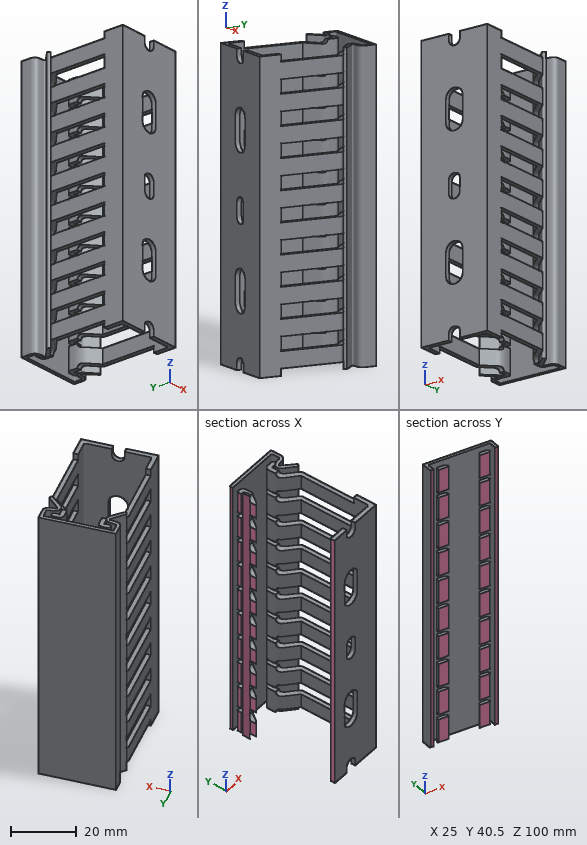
import cadquery as cq
import math

length = 100.0
width = 25.0
height = 40.5
half_width = width / 2

base_wall = 1.6
lean_wall = 1.8
base_corner_fillet = 0.8
lean_angle = 42.0
lean_foot = 28.7
lean_bend_radius = 1.5
hook_half_opening = 5.6
hook_top = 37.6
hook_tip = 9.6
hook_bend_radius = 1.4
hook_neck_inner_radius = 4.4
hook_neck_outer_radius = 2.0
hook_tip_radius = 0.79

lid_wall = 1.2
lid_corner_fillet = 0.3
shelf_slope = 9.0
shelf_underside = 35.0
shelf_upper_side = 36.3
shelf_outer_radius = 2.0
shelf_inner_radius = 0.5
notch_x = 8.1
notch_y = 34.6
notch_radius = 0.3
grip_radius = 1.8
leg_tip_outer = 30.3
leg_tip_inset = 0.5
leg_tip_radius = 0.5

finger_pitch = 10.0
finger_gap = 4.6
finger_root = 7.4
head_gap = 1.6
head_ledge = 33.5
head_fillet = (finger_gap - head_gap) / 2

small_slot_width = 4.2
small_slot_length = 8.4
large_slot_width = 6.3
large_slot_length = 14.0
slot_pitch = 50.0


def unit(x, y):
    """The 2D vector (x, y) scaled to length 1."""
    size = math.hypot(x, y)
    return x / size, y / size


def rounded_profile(corners):
    """Closed outline through (x, y, radius) corners; a radius of 0 leaves a corner sharp."""
    outline = cq.Workplane("XY")
    following = corners[1:] + corners[:1]
    preceding = corners[-1:] + corners[:-1]
    for i, (x, y, radius) in enumerate(corners):
        back = unit(preceding[i][0] - x, preceding[i][1] - y)
        ahead = unit(following[i][0] - x, following[i][1] - y)
        half_angle = math.acos(back[0] * ahead[0] + back[1] * ahead[1]) / 2
        setback = radius / math.tan(half_angle)
        entry = (x + setback * back[0], y + setback * back[1])
        outline = outline.moveTo(*entry) if i == 0 else outline.lineTo(*entry)
        if radius > 0:
            inward = unit(back[0] + ahead[0], back[1] + ahead[1])
            depth = radius / math.sin(half_angle) - radius
            middle = (x + depth * inward[0], y + depth * inward[1])
            leave = (x + setback * ahead[0], y + setback * ahead[1])
            outline = outline.threePointArc(middle, leave)
    return outline.close()


def symmetric_extrusion(half_outline):
    """Full-length solid from the +X half of an outline and its mirror image."""
    mirrored = [(-x, y, radius) for x, y, radius in reversed(half_outline)]
    return rounded_profile(half_outline + mirrored).extrude(length)


def lean_height(x, inset):
    """Level at x of the leaning wall's plane, moved inwards by the inset."""
    lean = math.radians(lean_angle)
    return lean_foot + (half_width - x) * math.tan(lean) - inset / math.cos(lean)


def grip_corner(shelf_end):
    """Sharp corner where the shelf's upper side meets the leg's contact face."""
    fall = math.tan(math.radians(shelf_slope))
    rise = math.tan(math.radians(lean_angle))
    x = shelf_end - (shelf_upper_side - lean_height(shelf_end, 0)) / (rise + fall)
    return x, lean_height(x, 0)


def lid_body():
    inner_side = half_width - lid_wall
    leg_tip_x = half_width - leg_tip_inset
    return symmetric_extrusion([
        (half_width, height, 0),
        (half_width, shelf_underside, shelf_outer_radius),
        (notch_x, notch_y, notch_radius),
        (half_width, leg_tip_outer, 0),
        (leg_tip_x, lean_height(leg_tip_x, 0), leg_tip_radius),
        (*grip_corner(inner_side), grip_radius),
        (inner_side, shelf_upper_side, shelf_inner_radius),
        (inner_side, height - lid_wall, lid_corner_fillet),
    ])


def base_channel():
    inner_side = half_width - base_wall
    hook_back = hook_half_opening + base_wall
    return symmetric_extrusion([
        (half_width, 0, 0),
        (half_width, lean_foot, lean_bend_radius),
        (hook_back, lean_height(hook_back, 0), hook_neck_outer_radius),
        (hook_back, hook_top - base_wall, 0),
        (hook_tip, hook_top - base_wall, hook_tip_radius),
        (hook_tip, hook_top, hook_tip_radius),
        (hook_half_opening, hook_top, hook_bend_radius),
        (hook_half_opening, lean_height(hook_half_opening, lean_wall), hook_neck_inner_radius),
        (inner_side, lean_height(inner_side, lean_wall), 0),
        (inner_side, base_wall, base_corner_fillet),
    ])


def finger_gap_cutter():
    """One gap through both side walls: wide between the fingers, narrow between their heads."""
    wide = (
        cq.Workplane("XY")
        .box(width, head_ledge - finger_root, finger_gap)
        .edges("|X and >Y")
        .fillet(head_fillet)
        .translate((0, (head_ledge + finger_root) / 2, 0))
    )
    narrow = (
        cq.Workplane("XY")
        .box(width, height - finger_root, head_gap)
        .translate((0, (height + finger_root) / 2, 0))
    )
    return wide.union(narrow)


def cut_finger_gaps(channel):
    """Separate the fingers; the gaps at both ends of the duct are half gaps."""
    for i in range(round(length / finger_pitch) + 1):
        channel = channel.cut(finger_gap_cutter().translate((0, 0, i * finger_pitch)))
    return channel


def slot_row(slot_length, slot_width, heights):
    """Upright round-ended slot cutters through the back wall."""
    return (
        cq.Workplane("XZ")
        .pushPoints([(0, z) for z in heights])
        .slot2D(slot_length, slot_width, 90)
        .extrude(-base_wall)
    )


def cut_mounting_slots(channel):
    """Small slots at the middle and, as open notches, at both ends; large slots between."""
    small = slot_row(small_slot_length, small_slot_width, [0, slot_pitch, 2 * slot_pitch])
    large = slot_row(large_slot_length, large_slot_width, [slot_pitch / 2, slot_pitch * 3 / 2])
    return channel.cut(small).cut(large)


base = cut_mounting_slots(cut_finger_gaps(base_channel()))
lid = lid_body()

result = cq.Compound.makeCompound([base.val(), lid.val()])